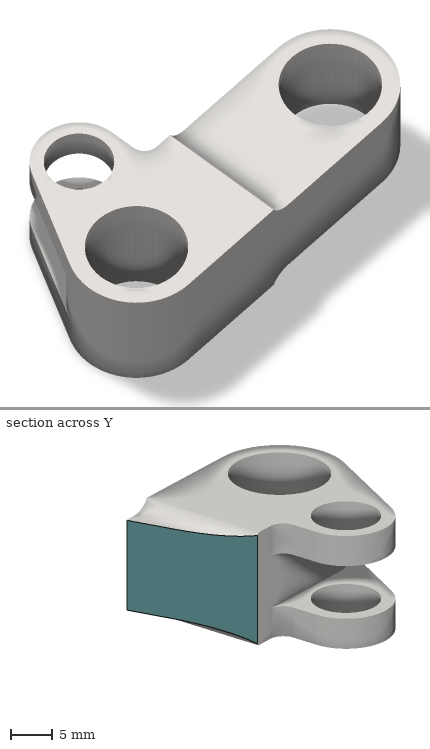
import cadquery as cq
import math

TILT = 12.85

ARM_LENGTH = 35.0
ARM_RADIUS = 8.5
ARM_BORE = 12.54
ARM_THICKNESS = 12.0

HUB_THICKNESS = 15.0
FORK_GAP = 7.0
STEP_START = 18.0
STEP_RADIUS = 3.0

EAR_X = -13.94
EAR_Y = 5.0
EAR_RADIUS = 6.0
EAR_BORE = 8.55
EAR_CORNER_RADIUS = 2.0

GAP_BLEND_RADIUS = 2.0
GAP_BLEND_ANGLE = 17.4


def polar(radius, angle):
    """Point at a radius from the pivot, angle in degrees from +X."""
    return (radius * math.cos(math.radians(angle)), radius * math.sin(math.radians(angle)))


def slab(thickness):
    """Empty sketch plane at the bottom of a slab centred on Z = 0."""
    return cq.Workplane("XY").workplane(offset=-thickness / 2)


def make_arm():
    """Straight bar with round ends, at full hub thickness."""
    bar = (
        slab(HUB_THICKNESS)
        .center(0, ARM_LENGTH / 2)
        .slot2D(ARM_LENGTH + 2 * ARM_RADIUS, 2 * ARM_RADIUS, 90)
        .extrude(HUB_THICKNESS)
    )
    return bar.cut(make_step_cut(1)).cut(make_step_cut(-1))


def make_step_cut(side):
    """Material thinning the arm on its top (side = 1) or bottom (side = -1) face."""
    arm_face = ARM_THICKNESS / 2
    hub_face = HUB_THICKNESS / 2
    arc_center_z = arm_face + STEP_RADIUS
    rise = math.acos((arc_center_z - hub_face) / STEP_RADIUS)
    lip_y = STEP_START - STEP_RADIUS * math.sin(rise)
    arc_mid_y = STEP_START - STEP_RADIUS * math.sin(rise / 2)
    arc_mid_z = arc_center_z - STEP_RADIUS * math.cos(rise / 2)
    arm_tip = ARM_LENGTH + ARM_RADIUS
    return (
        cq.Workplane("YZ")
        .moveTo(lip_y, side * hub_face)
        .threePointArc((arc_mid_y, side * arc_mid_z), (STEP_START, side * arm_face))
        .lineTo(arm_tip, side * arm_face)
        .lineTo(arm_tip, side * hub_face)
        .close()
        .extrude(ARM_RADIUS, both=True)
    )


def make_ears():
    """Two ears blended tangentially into the hub and filleted into the arm side."""
    spacing = math.hypot(EAR_X, EAR_Y)
    ear_direction = math.degrees(math.atan2(EAR_Y, EAR_X))
    tangent_normal = ear_direction + math.degrees(math.acos((ARM_RADIUS - EAR_RADIUS) / spacing))
    normal_x, normal_y = polar(1, tangent_normal)
    ear_tangent = (EAR_X + EAR_RADIUS * normal_x, EAR_Y + EAR_RADIUS * normal_y)
    hub_tangent = polar(ARM_RADIUS, tangent_normal)

    ear_top = EAR_Y + EAR_RADIUS
    corner_x = -ARM_RADIUS - EAR_CORNER_RADIUS
    corner_y = ear_top + EAR_CORNER_RADIUS
    corner_offset = EAR_CORNER_RADIUS * math.sqrt(0.5)
    corner_mid = (corner_x + corner_offset, corner_y - corner_offset)

    ears = (
        slab(HUB_THICKNESS)
        .moveTo(0, 0)
        .lineTo(*hub_tangent)
        .lineTo(*ear_tangent)
        .threePointArc((EAR_X - EAR_RADIUS, EAR_Y), (EAR_X, ear_top))
        .lineTo(corner_x, ear_top)
        .threePointArc(corner_mid, (-ARM_RADIUS, corner_y))
        .lineTo(0, corner_y)
        .close()
        .extrude(HUB_THICKNESS)
    )
    gap_size = 2 * (spacing + EAR_RADIUS)
    gap = cq.Workplane("XY").box(gap_size, gap_size, FORK_GAP)
    return ears.cut(gap)


def make_gap_blend():
    """Sliver in the fork gap: arm side run past its tangent point, then a concave arc to the hub."""
    center_x, center_y = polar(ARM_RADIUS + GAP_BLEND_RADIUS, 180 + GAP_BLEND_ANGLE)
    start_angle = math.acos((-ARM_RADIUS - center_x) / GAP_BLEND_RADIUS)
    end_angle = math.radians(GAP_BLEND_ANGLE)
    mid_angle = (start_angle + end_angle) / 2
    flat_end = (-ARM_RADIUS, center_y + GAP_BLEND_RADIUS * math.sin(start_angle))
    arc_mid = (
        center_x + GAP_BLEND_RADIUS * math.cos(mid_angle),
        center_y + GAP_BLEND_RADIUS * math.sin(mid_angle),
    )
    hub_end = polar(ARM_RADIUS, 180 + GAP_BLEND_ANGLE)
    return (
        slab(FORK_GAP)
        .moveTo(0, 0)
        .lineTo(-ARM_RADIUS, 0)
        .lineTo(*flat_end)
        .threePointArc(arc_mid, hub_end)
        .close()
        .extrude(FORK_GAP)
    )


def make_bore(x, y, diameter):
    """Through bore over the full hub thickness."""
    return slab(HUB_THICKNESS).center(x, y).circle(diameter / 2).extrude(HUB_THICKNESS)


link = make_arm().union(make_ears()).union(make_gap_blend())
link = link.cut(make_bore(0, 0, ARM_BORE))
link = link.cut(make_bore(0, ARM_LENGTH, ARM_BORE))
link = link.cut(make_bore(EAR_X, EAR_Y, EAR_BORE))

result = link.rotate((0, 0, 0), (0, 0, 1), -TILT)